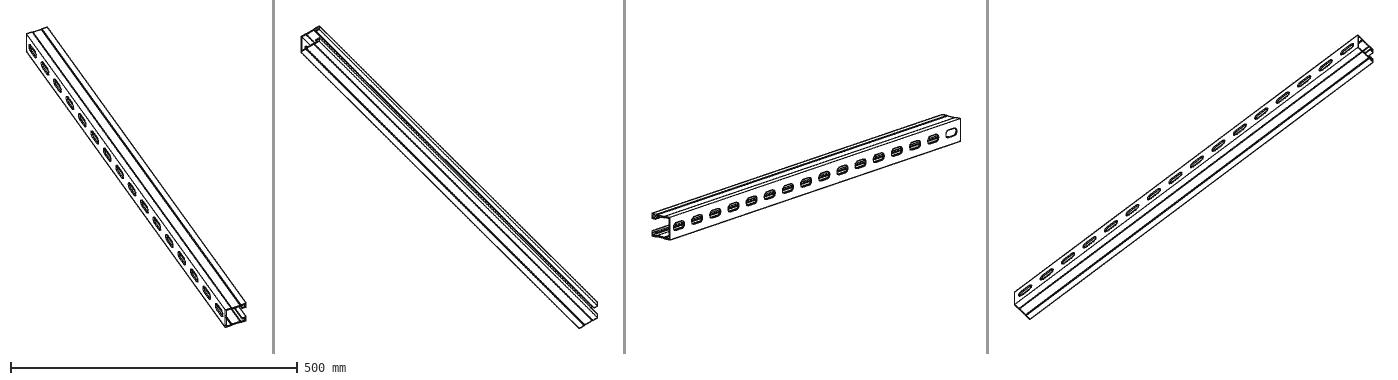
import cadquery as cq

length = 800.0
depth = 41.0
height = 42.0
sheet = 2.5

opening = 22.0
lip_return = 8.0

recess_depth = 1.0
step_run = 2.0
web_shoulder = 11.0
lip_shoulder = 10.0

slot_count = 16
slot_pitch = length / slot_count
slot_gap = 20.0
slot_length = slot_pitch - slot_gap
slot_width = 14.0

web_y = -depth / 2
open_y = depth / 2
flange_z = height / 2
recess_z = flange_z - recess_depth
lip_z = opening / 2
web_step_y = web_y + web_shoulder
lip_step_y = open_y - lip_shoulder


def flange_surface(offset):
    """Stepped line of the flange from web to lip, lowered by the offset."""
    return [
        (web_step_y, flange_z - offset),
        (web_step_y + step_run, recess_z - offset),
        (lip_step_y - step_run, recess_z - offset),
        (lip_step_y, flange_z - offset),
    ]


def upper_section():
    """Outline of the upper half of the section as (Y, Z) points."""
    outside = [(web_y, 0), (web_y, flange_z), *flange_surface(0), (open_y, flange_z)]
    lip = [
        (open_y, lip_z),
        (open_y - lip_return, lip_z),
        (open_y - lip_return, lip_z + sheet),
        (open_y - sheet, lip_z + sheet),
    ]
    inside = [
        (open_y - sheet, flange_z - sheet),
        *reversed(flange_surface(sheet)),
        (web_y + sheet, flange_z - sheet),
        (web_y + sheet, 0),
    ]
    return outside + lip + inside


def channel():
    """Full-length channel, symmetric about the mid-height plane."""
    upper = cq.Workplane("YZ").polyline(upper_section()).close().extrude(length / 2, both=True)
    return upper.union(upper.mirror("XY")).clean()


def web_slots():
    """Cutters for the row of slots, reaching one sheet thickness each way from the web's outer face."""
    return (
        cq.Workplane("XZ", origin=(0, web_y, 0))
        .rarray(slot_pitch, 8, slot_count, 1)
        .slot2D(slot_length, slot_width)
        .extrude(sheet, both=True)
    )


result = channel().cut(web_slots())